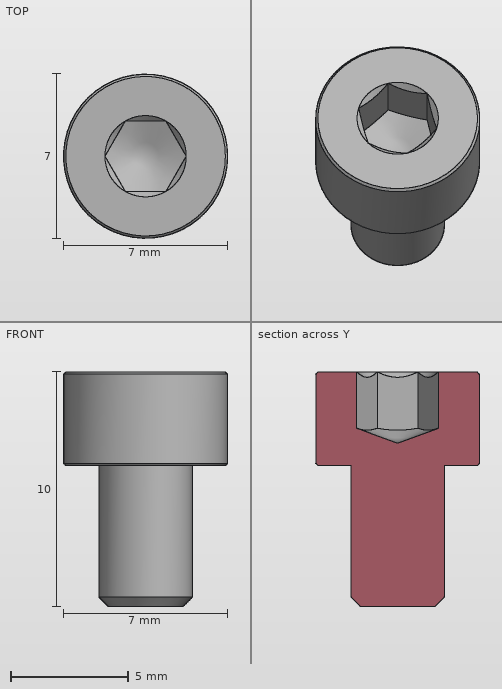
import cadquery as cq
import math

total_length = 10.0
head_diameter = 7.0
head_height = 4.0
shank_diameter = 4.0
head_chamfer = 0.1
tip_chamfer = 0.4

socket_across_flats = 3.0
socket_depth = 2.4
socket_floor_angle = 20.0
countersink_angle = 45.0

shank_length = total_length - head_height
corner_radius = socket_across_flats / math.sqrt(3)


def cone_down(top_z, slope):
    """Cone with its base at top_z, as wide as the hexagon corners, pointing down."""
    depth = corner_radius * math.tan(math.radians(slope))
    profile = [(0, top_z), (corner_radius, top_z), (0, top_z - depth)]
    return cq.Workplane("XZ").polyline(profile).close().revolve(360, (0, 0), (0, 1))


def make_shank():
    shank = cq.Workplane("XY").circle(shank_diameter / 2).extrude(shank_length)
    return shank.faces("<Z").chamfer(tip_chamfer)


def make_head():
    head = cq.Workplane("XY", origin=(0, 0, shank_length))
    head = head.circle(head_diameter / 2).extrude(head_height)
    return head.faces("<Z or >Z").chamfer(head_chamfer)


def make_socket():
    """Hexagon with two corners on the X axis, a conical floor and a conical lead-in."""
    floor_z = total_length - socket_depth
    hexagon = cq.Workplane("XY", origin=(0, 0, total_length))
    hexagon = hexagon.polygon(6, 2 * corner_radius).extrude(-socket_depth)

    floor_limit = cq.Workplane("XY", origin=(0, 0, floor_z))
    floor_limit = floor_limit.polygon(6, 2 * corner_radius).extrude(-socket_depth)
    floor = cone_down(floor_z, socket_floor_angle).intersect(floor_limit)
    lead_in = cone_down(total_length, countersink_angle)
    return hexagon.union(floor).union(lead_in)


result = make_head().union(make_shank()).cut(make_socket())